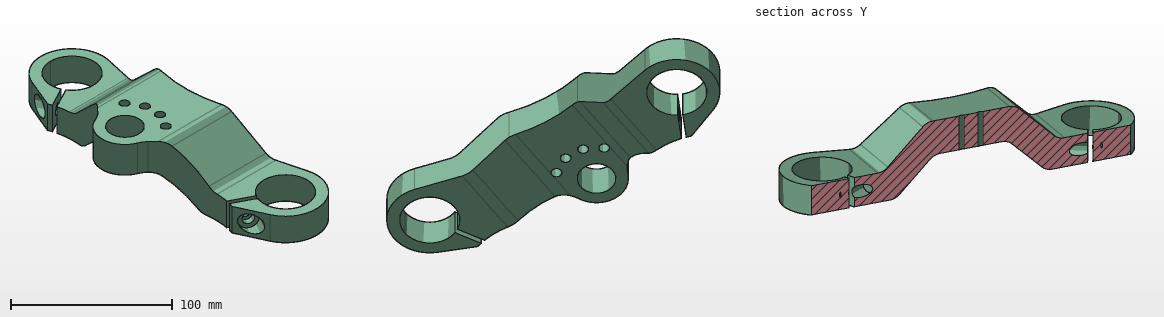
import math

import cadquery as cq

overall_width = 237.7
clamp_x = 92.2
clamp_y = 47.5
clamp_outer_radius = overall_width / 2 - clamp_x
clamp_bore_radius = 18.5
stem_outer_radius = 19.7
stem_bore_radius = 12.0

rear_edge_angle = math.radians(13.7)
rear_arc_middle_y = 55.5
lug_edge_angle = math.radians(23.5)
relief_x = 61.8
relief_y = -37.3
relief_radius = 53.5
stem_blend_radius = 20.0

arm_thickness = 20.0
bridge_top = 48.0
bridge_thickness = 23.0
bridge_bottom = bridge_top - bridge_thickness
top_slope_start_x = 60.0
top_slope_end_x = 30.2
under_slope_start_x = 51.5
slope_run_per_rise = (top_slope_start_x - top_slope_end_x) / (bridge_top - arm_thickness)
under_slope_end_x = under_slope_start_x - bridge_bottom * slope_run_per_rise
bend_radius = 10.0

ring_radius = 25.2
ring_hole_diameter = 6.7
ring_hole_angles = (45, 75, 105, 135)

slot_angle = math.radians(62.4)
slot_width = 3.0
slot_length = 47.5
screw_offset = 26.0
screw_angle = math.radians(30)
screw_hole_diameter = 8.0
screw_thread_depth = 14.3
screw_head_diameter = 14.3
screw_seat_offset = 6.5
screw_head_clearance = 28.5


def circle_point(center, radius, angle):
    """Point on a circle at an angle in radians."""
    return (center[0] + radius * math.cos(angle), center[1] + radius * math.sin(angle))


def direction(start, end):
    """Angle in radians of the line from start to end."""
    return math.atan2(end[1] - start[1], end[0] - start[0])


def mirrored(point):
    """The same point on the other side of the YZ plane."""
    return (-point[0], point[1])


def planform():
    """Outline seen from above, extruded through the full height."""
    clamp = (clamp_x, clamp_y)
    relief = (relief_x, relief_y)
    stem = (0, 0)

    rear_normal = math.pi / 2 + rear_edge_angle
    rear_tangent = circle_point(clamp, clamp_outer_radius, rear_normal)
    apex_y = rear_tangent[1] - rear_tangent[0] * math.tan(rear_edge_angle)
    rear_arc_radius = (rear_arc_middle_y - apex_y) / (1 / math.cos(rear_edge_angle) - 1)
    rear_arc_x = rear_arc_radius * math.sin(rear_edge_angle)
    rear_arc_end = (rear_arc_x, apex_y + rear_arc_x * math.tan(rear_edge_angle))

    lug_normal = lug_edge_angle - math.pi / 2
    lug_start = circle_point(clamp, clamp_outer_radius, lug_normal)
    lug_inward = lug_edge_angle + math.pi
    gap_x = relief_x - lug_start[0]
    gap_y = relief_y - lug_start[1]
    along = gap_x * math.cos(lug_inward) + gap_y * math.sin(lug_inward)
    across = gap_y * math.cos(lug_inward) - gap_x * math.sin(lug_inward)
    lug_length = along - math.sqrt(relief_radius**2 - across**2)
    lug_tip = circle_point(lug_start, lug_length, lug_inward)

    stem_side = stem_outer_radius + stem_blend_radius
    relief_side = relief_radius - stem_blend_radius
    spacing = math.hypot(relief_x, relief_y)
    corner = math.acos((stem_side**2 + spacing**2 - relief_side**2) / (2 * stem_side * spacing))
    blend = circle_point(stem, stem_side, direction(stem, relief) + corner)
    blend_relief_angle = direction(relief, blend)
    blend_stem_angle = direction(blend, stem)
    blend_start = circle_point(blend, stem_blend_radius, blend_relief_angle)
    blend_end = circle_point(blend, stem_blend_radius, blend_stem_angle)
    blend_middle_angle = (blend_relief_angle % math.tau + blend_stem_angle % math.tau) / 2
    blend_middle = circle_point(blend, stem_blend_radius, blend_middle_angle)
    relief_middle = circle_point(
        relief, relief_radius, (direction(relief, lug_tip) + blend_relief_angle) / 2
    )
    clamp_middle = circle_point(clamp, clamp_outer_radius, (rear_normal + lug_normal) / 2)

    return (
        cq.Workplane("XY")
        .moveTo(*mirrored(rear_arc_end))
        .threePointArc((0, rear_arc_middle_y), rear_arc_end)
        .lineTo(*rear_tangent)
        .threePointArc(clamp_middle, lug_start)
        .lineTo(*lug_tip)
        .threePointArc(relief_middle, blend_start)
        .threePointArc(blend_middle, blend_end)
        .threePointArc((0, -stem_outer_radius), mirrored(blend_end))
        .threePointArc(mirrored(blend_middle), mirrored(blend_start))
        .threePointArc(mirrored(relief_middle), mirrored(lug_tip))
        .lineTo(*mirrored(lug_start))
        .threePointArc(mirrored(clamp_middle), mirrored(rear_tangent))
        .close()
        .extrude(bridge_top)
    )


def bent_bar():
    """Cranked side profile with rounded bends, swept straight along Y."""
    half_length = overall_width / 2
    right_half = [
        (top_slope_end_x, bridge_top),
        (top_slope_start_x, arm_thickness),
        (half_length, arm_thickness),
        (half_length, 0),
        (under_slope_start_x, 0),
        (under_slope_end_x, bridge_bottom),
    ]
    left_half = [mirrored(point) for point in reversed(right_half)]
    half_depth = clamp_y + clamp_outer_radius
    bar = (
        cq.Workplane("XZ").polyline(right_half + left_half).close().extrude(half_depth, both=True)
    )
    bends = bar.edges("|Y").edges("not(<X or >X)")
    return bends.fillet(bend_radius)


def vertical_hole(x, y, radius):
    """Cutter for a round hole through the full height."""
    return cq.Workplane("XY").center(x, y).circle(radius).extrude(bridge_top)


def right_clamp_cut():
    """Cutter for the bore, slot and pinch screw of the clamp on the +X side."""
    bore = vertical_hole(clamp_x, clamp_y, clamp_bore_radius)

    slot_plane = cq.Plane(
        origin=(clamp_x, clamp_y, arm_thickness / 2),
        xDir=(-math.cos(slot_angle), -math.sin(slot_angle), 0),
        normal=(0, 0, 1),
    )
    slot = cq.Workplane(slot_plane).center(slot_length / 2, 0).rect(slot_length, slot_width)
    slot = slot.extrude(arm_thickness, both=True)

    screw_axis = (math.cos(screw_angle), -math.sin(screw_angle), 0)
    screw_plane = cq.Plane(
        origin=slot_plane.toWorldCoords((screw_offset, 0, 0)).toTuple(),
        xDir=(0, 0, 1),
        normal=screw_axis,
    )
    thread = (
        cq.Workplane(screw_plane)
        .workplane(offset=-screw_thread_depth)
        .circle(screw_hole_diameter / 2)
        .extrude(screw_thread_depth + screw_seat_offset)
    )
    head = (
        cq.Workplane(screw_plane)
        .workplane(offset=screw_seat_offset)
        .circle(screw_head_diameter / 2)
        .extrude(screw_head_clearance)
    )
    return bore.union(slot).union(thread).union(head)


body = planform().intersect(bent_bar())
body = body.cut(vertical_hole(0, 0, stem_bore_radius))
for hole_angle in ring_hole_angles:
    hole_x, hole_y = circle_point((0, 0), ring_radius, math.radians(hole_angle))
    body = body.cut(vertical_hole(hole_x, hole_y, ring_hole_diameter / 2))

clamp_cut = right_clamp_cut()
result = body.cut(clamp_cut).cut(clamp_cut.mirror("YZ"))